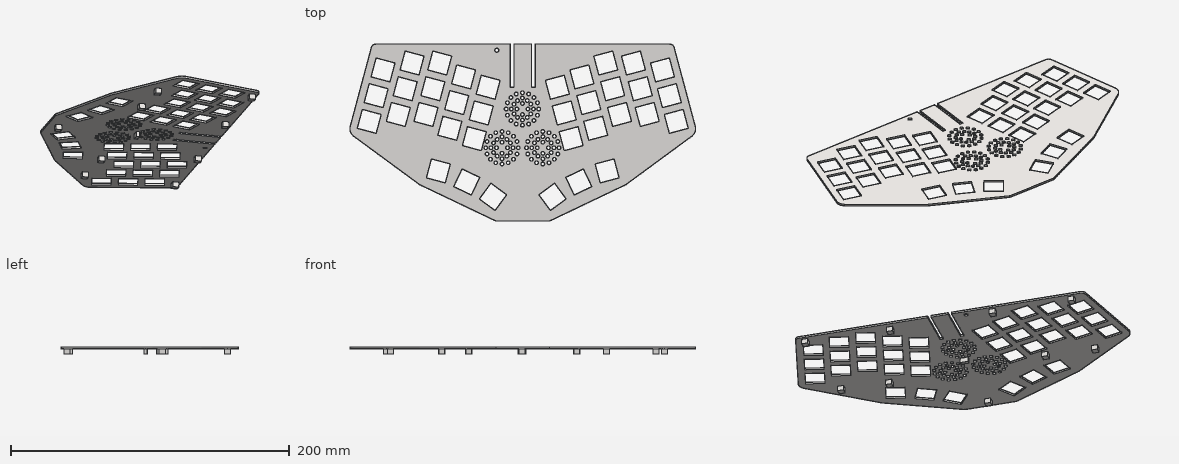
import cadquery as cq
import math


half_width = 124.0
half_depth = 63.5
plate_thickness = 1.5
total_height = 5.2
side_slant = 15.0
front_side_angle = 36.3
back_corner_radius = 3.5
side_corner_radius = 6.7
side_corner_y = 2.7
knee_y = -37.5
front_half_width = 19.4

key_size = 14.0
key_pitch = 19.0
keys_per_column = 3
column_tops = [(24.8, 32.5), (42.5, 40.0), (59.5, 49.9), (79.5, 49.9), (100.2, 45.0)]
thumb_keys = [(60.5, -27.5, side_slant), (40.2, -35.5, 25.6), (21.3, -46.2, front_side_angle)]

grille_hole_diameter = 2.5
grille_centres = [(-0.2, 16.9), (-15.0, -11.0), (14.5, -11.0)]
grille_rings = [(4, 4.0, 0), (4, 7.0, 30), (4, 7.0, 60), (4, 8.0, 0), (16, 11.7, 0)]

slot_x = 7.7
slot_width = 2.5
slot_end_y = 32.5
back_hole_diameter = 2.7
back_hole_place = (-18.5, 59.0)

foot_size = 4.5
foot_places = [
    (-97.8, 59.3), (-38.7, 59.3), (38.7, 57.5), (101.7, 59.3),
    (-94.8, -9.0), (-58.0, -7.2), (60.0, -11.0), (95.5, -9.0),
    (-0.5, -55.8),
]
middle_foot_length = 6.0
middle_foot_width = 2.5
middle_foot_place = (-0.5, 3.0)


def polar(centre, radius, angle):
    """Point at a distance and an angle in degrees from a centre."""
    turn = math.radians(angle)
    return centre[0] + radius * math.cos(turn), centre[1] + radius * math.sin(turn)


def half_plate():
    """Right half of the plate, its straight inner edge on the Y axis."""
    corner = (half_width - side_corner_radius, side_corner_y)
    front_normal = front_side_angle - 90
    side_start = polar(corner, side_corner_radius, side_slant)
    side_mid = polar(corner, side_corner_radius, 0)
    side_end = polar(corner, side_corner_radius, front_normal)
    back_x = side_start[0] - (half_depth - side_start[1]) * math.tan(math.radians(side_slant))
    knee_x = side_end[0] - (side_end[1] - knee_y) / math.tan(math.radians(front_side_angle))
    sheet = (
        cq.Workplane("XY")
        .moveTo(0, half_depth)
        .lineTo(back_x, half_depth)
        .lineTo(*side_start)
        .threePointArc(side_mid, side_end)
        .lineTo(knee_x, knee_y)
        .lineTo(front_half_width, -half_depth)
        .lineTo(0, -half_depth)
        .close()
        .extrude(plate_thickness)
    )
    back_corner = cq.selectors.NearestToPointSelector((back_x, half_depth, plate_thickness / 2))
    return sheet.edges("|Z").edges(back_corner).fillet(back_corner_radius)


def key_cutter(x, y, angle):
    """Square through-cutter turned by an angle in degrees."""
    cutter = cq.Workplane("XY").rect(key_size, key_size).extrude(plate_thickness)
    return cutter.rotate((0, 0, 0), (0, 0, 1), angle).translate((x, y, 0))


def cut_keys(half):
    """Finger columns leaning with the side, and the fanned thumb keys."""
    for top_x, top_y in column_tops:
        for row in range(keys_per_column):
            x, y = polar((top_x, top_y), row * key_pitch, side_slant - 90)
            half = half.cut(key_cutter(x, y, side_slant))
    for x, y, angle in thumb_keys:
        half = half.cut(key_cutter(x, y, angle))
    return half


def cut_slot(half):
    """Narrow slot open at the back edge."""
    slot_length = half_depth - slot_end_y
    slot = (
        cq.Workplane("XY")
        .center(slot_x, slot_end_y + slot_length / 2)
        .rect(slot_width, slot_length)
        .extrude(plate_thickness)
    )
    return half.cut(slot)


def round_cutters(places, diameter):
    """Through-cutters for round holes."""
    return cq.Workplane("XY").pushPoints(places).circle(diameter / 2).extrude(plate_thickness)


def grille_places():
    """Hole centres of all the grilles."""
    places = []
    for centre in grille_centres:
        for count, radius, first_angle in grille_rings:
            for step in range(count):
                places.append(polar(centre, radius, first_angle + step * 360 / count))
    return places


def feet(places, length, width):
    """Rectangular feet hanging from the underside of the plate."""
    drop = total_height - plate_thickness
    return cq.Workplane("XY").pushPoints(places).rect(length, width).extrude(-drop)


half = cut_slot(cut_keys(half_plate()))
plate = half.union(half.mirror("YZ"))
plate = plate.cut(round_cutters(grille_places(), grille_hole_diameter))
plate = plate.cut(round_cutters([back_hole_place], back_hole_diameter))
plate = plate.union(feet(foot_places, foot_size, foot_size))
result = plate.union(feet([middle_foot_place], middle_foot_length, middle_foot_width))